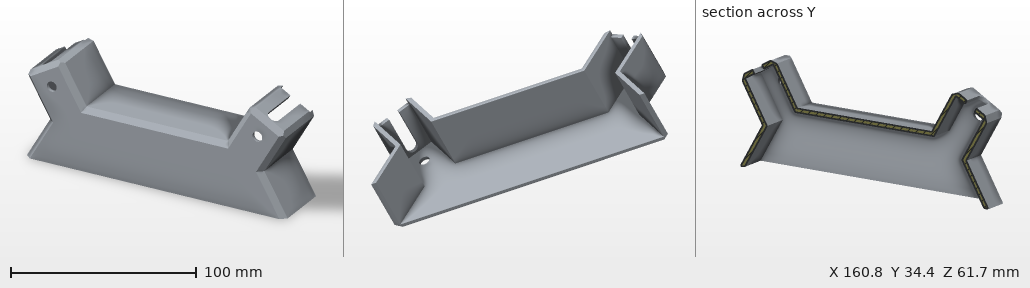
import cadquery as cq
import math

length = 160.77
height = 61.74
depth = 34.4

lean = math.radians(30)
waist_height = 24.9
saddle_height = 37.75
arm_width = 25.85
bevel = 3.0

wall = 2.5
front_wall = 2.0
lid_depth = 3.4

slot_width = 7.0
slot_front = 3.5
hole_diameter = 6.0
hole_from_waist = 17.1

along = (-math.sin(lean), math.cos(lean))
across = (math.cos(lean), math.sin(lean))

waist_x = -length / 2 + waist_height * math.tan(lean)
arm_length = (height - waist_height - (arm_width - bevel) * across[1]) / along[1]


def arm_point(distance_along, distance_across):
    """XZ point of the left arm, measured from the waist corner."""
    return (
        waist_x + distance_along * along[0] + distance_across * across[0],
        waist_height + distance_along * along[1] + distance_across * across[1],
    )


def square_tip(inset, tip):
    """End of the left arm with sharp corners."""
    return [arm_point(tip, inset), arm_point(tip, arm_width - inset)]


def cut_corner_tip():
    """End of the left arm with both corners cut off by the bevel."""
    return [
        arm_point(arm_length - bevel, 0),
        arm_point(arm_length, bevel),
        arm_point(arm_length, arm_width - bevel),
        arm_point(arm_length - bevel, arm_width),
    ]


def profile(inset, tip_points, y_start):
    """Prism of the symmetric outline, set in from its sides, from y_start to the back."""
    side_shift = inset / math.cos(lean)
    inner = arm_width - inset
    saddle_along = (saddle_height - inset - arm_point(0, inner)[1]) / along[1]
    left = [(-length / 2 + side_shift, 0), (waist_x + side_shift, waist_height)]
    left += tip_points
    left.append(arm_point(saddle_along, inner))
    right = [(-x, z) for x, z in reversed(left)]
    sketch = cq.Workplane("XZ", origin=(0, y_start, 0)).polyline(left + right).close()
    return sketch.extrude(y_start - depth)


def make_body():
    """Solid block with bevelled front edges, except along the foot, and cut tip corners."""
    block = profile(0, square_tip(0, arm_length), 0)
    above_foot = cq.selectors.BoxSelector((-length, -bevel, bevel), (length, bevel, 2 * height))
    front_edges = block.faces("<Y").edges().edges(above_foot)
    bevelled = block.newObject(front_edges.vals()).chamfer(bevel)
    return bevelled.intersect(profile(0, cut_corner_tip(), 0))


def make_hollow():
    """Inside space with a wall at each arm tip, and the lid recess that runs out through the tips."""
    cavity = profile(wall, square_tip(wall, arm_length - wall), front_wall)
    lid_recess = profile(wall, square_tip(wall, arm_length + wall), depth - lid_depth)
    return cavity.union(lid_recess)


def make_front_hole():
    """Round hole through the front wall of the left arm."""
    x, z = arm_point(hole_from_waist, arm_width / 2)
    return cq.Workplane("XZ", origin=(x, 0, z)).circle(hole_diameter / 2).extrude(-2 * front_wall)


def make_tip_slot():
    """Slot through the tip wall of the left arm, round at the front and open at the back."""
    x, z = arm_point(arm_length, arm_width / 2)
    tip_plane = cq.Plane(
        origin=(x, 0, z),
        xDir=(across[0], 0, across[1]),
        normal=(along[0], 0, along[1]),
    )
    radius = slot_width / 2
    round_start = slot_front + radius
    return (
        cq.Workplane(tip_plane)
        .moveTo(-radius, depth)
        .lineTo(-radius, round_start)
        .threePointArc((0, slot_front), (radius, round_start))
        .lineTo(radius, depth)
        .close()
        .extrude(-2 * wall)
    )


result = make_body().cut(make_hollow())
for opening in (make_front_hole(), make_tip_slot()):
    result = result.cut(opening).cut(opening.mirror("YZ"))